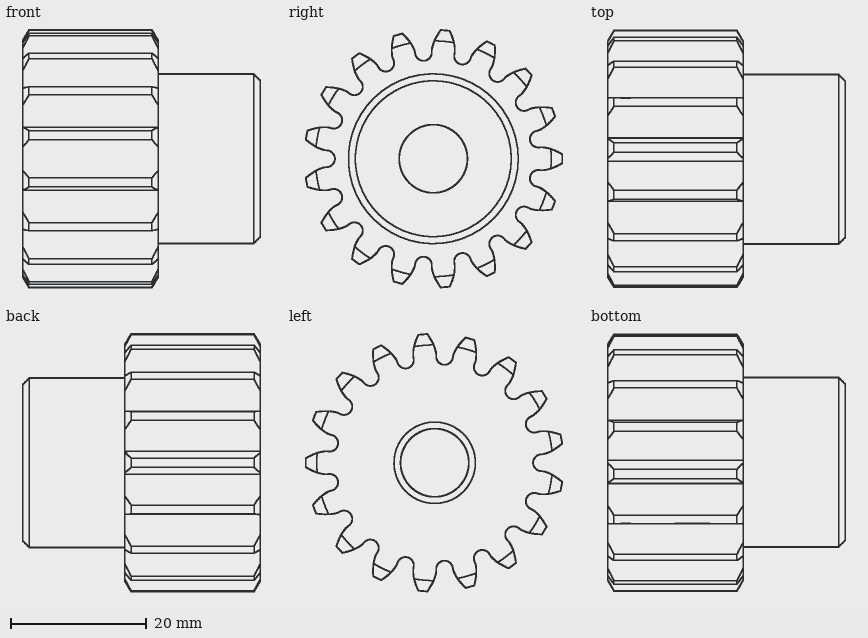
import cadquery as cq
import math

TEETH = 17
PITCH_DIAMETER = 34.0
MODULE = PITCH_DIAMETER / TEETH
PITCH_RADIUS = PITCH_DIAMETER / 2
OUTER_RADIUS = PITCH_RADIUS + MODULE
DEDENDUM_FACTOR = 1.25
ROOT_RADIUS = PITCH_RADIUS - DEDENDUM_FACTOR * MODULE
PRESSURE_ANGLE = math.radians(20)
BASE_RADIUS = PITCH_RADIUS * math.cos(PRESSURE_ANGLE)

FACE_WIDTH = 20.0
TOTAL_LENGTH = 35.0
HUB_DIAMETER = 25.0
BORE_DIAMETER = 10.0
BORE_CHAMFER = 1.0
HUB_CHAMFER = 1.02
TIP_CHAMFER_LENGTH = 0.95
TIP_CHAMFER_SLOPE = math.tan(math.radians(60))

HALF_PITCH = math.pi / TEETH
FLANK_STEPS = 6
CUT_MARGIN = 1.9


def involute(angle):
    return math.tan(angle) - angle


def tooth_half_angle(radius):
    """Angle from the tooth centre line to the involute flank at a radius."""
    local_pressure_angle = math.acos(min(1.0, BASE_RADIUS / radius))
    return HALF_PITCH / 2 + involute(PRESSURE_ANGLE) - involute(local_pressure_angle)


def polar(radius, angle):
    return (radius * math.cos(angle), radius * math.sin(angle))


def flank_points(gap_centre, side):
    """Involute points from the base circle out to the tip, on one side of a gap."""
    points = []
    for step in range(FLANK_STEPS + 1):
        radius = BASE_RADIUS + (OUTER_RADIUS - BASE_RADIUS) * (step / FLANK_STEPS) ** 2
        points.append(polar(radius, gap_centre + side * (HALF_PITCH - tooth_half_angle(radius))))
    return points


def gear_outline():
    """Closed outline: each gap has two involute flanks, radial walls and a round bottom."""
    wall_angle = HALF_PITCH - tooth_half_angle(BASE_RADIUS)
    round_centre = ROOT_RADIUS / (1 - math.sin(wall_angle))
    wall_end = round_centre * math.cos(wall_angle)
    tip_half_angle = tooth_half_angle(OUTER_RADIUS)

    outline = cq.Workplane("YZ").moveTo(*polar(OUTER_RADIUS, tip_half_angle))
    for tooth in range(TEETH):
        gap_centre = (2 * tooth + 1) * HALF_PITCH
        next_tooth = (2 * tooth + 2) * HALF_PITCH
        falling = flank_points(gap_centre, -1)[::-1]
        rising = flank_points(gap_centre, 1)
        outline = (
            outline.spline(falling[1:], includeCurrent=True)
            .lineTo(*polar(wall_end, gap_centre - wall_angle))
            .threePointArc(polar(ROOT_RADIUS, gap_centre), polar(wall_end, gap_centre + wall_angle))
            .lineTo(*rising[0])
            .spline(rising[1:], includeCurrent=True)
            .threePointArc(polar(OUTER_RADIUS, next_tooth), polar(OUTER_RADIUS, next_tooth + tip_half_angle))
        )
    return outline.close()


def tip_chamfer_envelope():
    """Disc with bevelled rims that trims the tooth tips at both gear faces."""
    face_radius = OUTER_RADIUS - TIP_CHAMFER_LENGTH * TIP_CHAMFER_SLOPE
    wide_radius = OUTER_RADIUS + CUT_MARGIN
    bevel_run = TIP_CHAMFER_LENGTH + CUT_MARGIN / TIP_CHAMFER_SLOPE
    profile = [
        (0, 0),
        (0, face_radius),
        (bevel_run, wide_radius),
        (FACE_WIDTH - bevel_run, wide_radius),
        (FACE_WIDTH, face_radius),
        (FACE_WIDTH, 0),
    ]
    return cq.Workplane("XY").polyline(profile).close().revolve(360, (0, 0, 0), (1, 0, 0))


gear = gear_outline().extrude(FACE_WIDTH).intersect(tip_chamfer_envelope())

hub = cq.Workplane("YZ").circle(HUB_DIAMETER / 2).extrude(TOTAL_LENGTH).faces(">X").chamfer(HUB_CHAMFER)

bore = cq.Workplane("YZ").circle(BORE_DIAMETER / 2).extrude(TOTAL_LENGTH)
bore_chamfer = cq.Workplane(
    cq.Solid.makeCone(
        BORE_DIAMETER / 2 + BORE_CHAMFER,
        BORE_DIAMETER / 2,
        BORE_CHAMFER,
        dir=cq.Vector(1, 0, 0),
    )
)

result = gear.union(hub).cut(bore).cut(bore_chamfer)